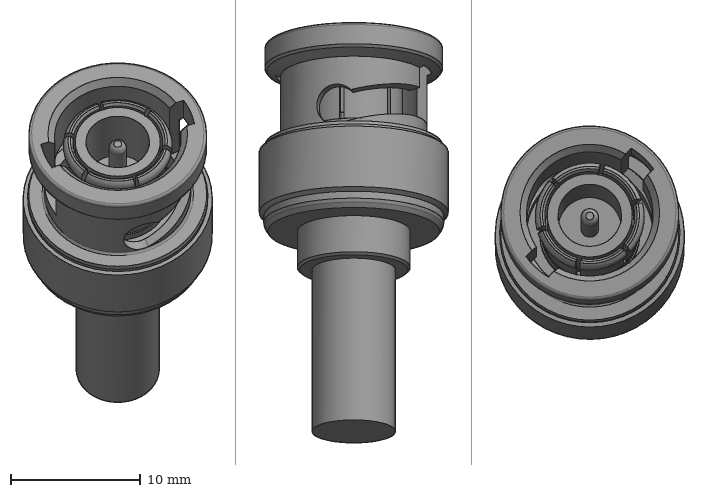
import cadquery as cq
import math

LENGTH = 30.95

GRIP_RADIUS = 7.3
COLLAR_RADIUS = 6.95
FLANGE_RADIUS = 6.87
NECK_RADIUS = 5.65
BORE_RADIUS = 4.9
BORE_MOUTH_RADIUS = 5.4

NUT_BOTTOM = 16.1
GRIP_BOTTOM = 17.3
GRIP_TOP = 22.45
COLLAR_TOP = 23.0
FLANGE_BOTTOM = 28.97
BORE_FLOOR = 22.28
BORE_MOUTH_DEPTH = 0.5
FLARE_HEIGHT = 0.43
FLARE_RADIUS = 6.72
FLANGE_FILLET = 0.22
NECK_FILLET = 0.2
GRIP_CHAMFER = 0.28

RIM_TAPER = 0.1
RIM_HEIGHT = 0.28
BOTTOM_CHAMFER_WIDTH = 0.25
BOTTOM_CHAMFER_HEIGHT = 0.37

SLOT_WIDTH = 2.35
SLOT_OUTER_RADIUS = 6.0
RAMP_ANGLE = math.radians(14.0)
LOCK_RADIUS = 1.58
LOCK_HEIGHT = 24.75
SLOT_COUNT = 2

TUBE_RADIUS = 3.22
TUBE_COLLAR_RADIUS = 4.35
TUBE_COLLAR_BOTTOM = 13.0
TUBE_COLLAR_CHAMFER = 0.2

HUB_RADIUS = 3.87
HUB_TOP = 22.9
BODY_RADIUS = 3.75
SLEEVE_RADIUS = 3.78
SLEEVE_BOTTOM = 24.1
SLEEVE_TOP = 30.02
LIP_RADIUS = 4.2
LIP_HEIGHT = 1.25
LIP_CREST_RADIUS = 3.85
SLEEVE_MOUTH_RADIUS = 3.65
SLEEVE_INNER_RADIUS = 3.47
SLIT_WIDTH = 0.35
SLIT_COUNT = 6
SLIT_INNER_RADIUS = 3.37

GAP_FLOOR = 24.73
INSULATOR_RADIUS = 3.28
INSULATOR_BORE_RADIUS = 2.45
PIN_RADIUS = 0.68
PIN_TIP_RADIUS = 0.3
INSULATOR_TOP = 29.9
PIN_SHOULDER = 29.1
PIN_TOP = 29.62


def cylinder(radius, bottom, top):
    return cq.Workplane("XY").workplane(offset=bottom).circle(radius).extrude(top - bottom)


def revolve(profile):
    """Turn a closed radius-height profile a full turn about Z."""
    return profile.close().revolve(360, (0, 0, 0), (0, 1, 0))


def nut_blank():
    """Turned shape of the nut, before the bayonet slots."""
    rim_radius = COLLAR_RADIUS - RIM_TAPER
    chamfer_top = NUT_BOTTOM + BOTTOM_CHAMFER_HEIGHT
    neck_top = FLANGE_BOTTOM - FLARE_HEIGHT
    profile = (
        cq.Workplane("XZ")
        .moveTo(HUB_RADIUS, NUT_BOTTOM)
        .lineTo(rim_radius - BOTTOM_CHAMFER_WIDTH, NUT_BOTTOM)
        .lineTo(rim_radius, chamfer_top)
        .lineTo(COLLAR_RADIUS, chamfer_top + RIM_HEIGHT)
        .lineTo(COLLAR_RADIUS, GRIP_BOTTOM)
        .lineTo(GRIP_RADIUS, GRIP_BOTTOM + GRIP_CHAMFER)
        .lineTo(GRIP_RADIUS, GRIP_TOP)
        .lineTo(COLLAR_RADIUS, GRIP_TOP)
        .lineTo(COLLAR_RADIUS, COLLAR_TOP - RIM_HEIGHT)
        .lineTo(rim_radius, COLLAR_TOP)
        .lineTo(NECK_RADIUS + NECK_FILLET, COLLAR_TOP)
        .radiusArc((NECK_RADIUS, COLLAR_TOP + NECK_FILLET), NECK_FILLET)
        .lineTo(NECK_RADIUS, neck_top)
        .lineTo(FLARE_RADIUS, FLANGE_BOTTOM)
        .lineTo(FLANGE_RADIUS, FLANGE_BOTTOM + FLANGE_FILLET)
        .lineTo(FLANGE_RADIUS, LENGTH - FLANGE_FILLET)
        .radiusArc((FLANGE_RADIUS - FLANGE_FILLET, LENGTH), -FLANGE_FILLET)
        .lineTo(BORE_MOUTH_RADIUS, LENGTH)
        .lineTo(BORE_RADIUS, LENGTH - BORE_MOUTH_DEPTH)
        .lineTo(BORE_RADIUS, BORE_FLOOR)
        .lineTo(HUB_RADIUS, BORE_FLOOR)
    )
    return revolve(profile)


def ramp_point(distance, offset):
    """Y and Z of a point on the ramp: distance along it toward -Y, offset square to it."""
    y = -distance * math.cos(RAMP_ANGLE) + offset * math.sin(RAMP_ANGLE)
    z = LOCK_HEIGHT + distance * math.sin(RAMP_ANGLE) + offset * math.cos(RAMP_ANGLE)
    return y, z


def bayonet_slot():
    """Entry slot on -Y, ramp from its foot toward -X, and round lock hole at the end of the ramp."""
    side = SLOT_WIDTH / 2
    ramp_end = SLOT_OUTER_RADIUS / math.cos(RAMP_ANGLE)
    low = -LOCK_RADIUS
    high = low + SLOT_WIDTH
    start = cq.Workplane("YZ").workplane(offset=-GRIP_RADIUS)
    ramp_outline = [
        ramp_point(0, low),
        ramp_point(ramp_end, low),
        ramp_point(ramp_end, high),
        ramp_point(0, high),
    ]
    ramp = start.polyline(ramp_outline).close().extrude(GRIP_RADIUS + side)
    lock = start.center(0, LOCK_HEIGHT).circle(LOCK_RADIUS).extrude(GRIP_RADIUS)
    foot_y, foot_z = ramp_point(ramp_end, low)
    inner_y, inner_z = ramp_point(ramp_end / 2, low)
    entry = (
        cq.Workplane("YZ")
        .polyline([(inner_y, inner_z), (foot_y, foot_z), (foot_y, LENGTH), (inner_y, LENGTH)])
        .close()
        .extrude(side, both=True)
    )
    within = cylinder(SLOT_OUTER_RADIUS, NUT_BOTTOM, LENGTH)
    return ramp.union(entry).union(lock).intersect(within)


def coupling_nut():
    nut = nut_blank()
    for index in range(SLOT_COUNT):
        nut = nut.cut(bayonet_slot().rotate((0, 0, 0), (0, 0, 1), index * 360 / SLOT_COUNT))
    return nut


def core_blank():
    """Turned shape of the core, with the annular gap between spring sleeve and insulator."""
    profile = (
        cq.Workplane("XZ")
        .moveTo(0, 0)
        .lineTo(TUBE_RADIUS, 0)
        .lineTo(TUBE_RADIUS, TUBE_COLLAR_BOTTOM)
        .lineTo(TUBE_COLLAR_RADIUS - TUBE_COLLAR_CHAMFER, TUBE_COLLAR_BOTTOM)
        .lineTo(TUBE_COLLAR_RADIUS, TUBE_COLLAR_BOTTOM + TUBE_COLLAR_CHAMFER)
        .lineTo(TUBE_COLLAR_RADIUS, NUT_BOTTOM)
        .lineTo(HUB_RADIUS, NUT_BOTTOM)
        .lineTo(HUB_RADIUS, HUB_TOP)
        .lineTo(BODY_RADIUS, HUB_TOP)
        .lineTo(BODY_RADIUS, SLEEVE_BOTTOM)
        .lineTo(SLEEVE_RADIUS, SLEEVE_BOTTOM)
        .lineTo(SLEEVE_RADIUS, SLEEVE_TOP - LIP_HEIGHT)
        .threePointArc((LIP_RADIUS, SLEEVE_TOP - LIP_HEIGHT / 2), (LIP_CREST_RADIUS, SLEEVE_TOP))
        .lineTo(SLEEVE_MOUTH_RADIUS, SLEEVE_TOP)
        .lineTo(SLEEVE_INNER_RADIUS, SLEEVE_TOP - (SLEEVE_MOUTH_RADIUS - SLEEVE_INNER_RADIUS))
        .lineTo(SLEEVE_INNER_RADIUS, GAP_FLOOR)
        .lineTo(INSULATOR_RADIUS, GAP_FLOOR)
        .lineTo(INSULATOR_RADIUS, INSULATOR_TOP)
        .lineTo(INSULATOR_BORE_RADIUS, INSULATOR_TOP)
        .lineTo(INSULATOR_BORE_RADIUS, GAP_FLOOR)
        .lineTo(PIN_RADIUS, GAP_FLOOR)
        .lineTo(PIN_RADIUS, PIN_SHOULDER)
        .tangentArcPoint((PIN_TIP_RADIUS, PIN_TOP), relative=False)
        .lineTo(0, PIN_TOP)
    )
    return revolve(profile)


def sleeve_slits():
    """Radial slits that divide the spring sleeve into equal fingers, clear of the insulator."""
    height = SLEEVE_TOP - SLEEVE_BOTTOM
    inside = cylinder(SLIT_INNER_RADIUS, SLEEVE_BOTTOM, SLEEVE_TOP)
    opposite_pair = (
        cq.Workplane("XY")
        .workplane(offset=SLEEVE_BOTTOM)
        .rect(2 * BORE_RADIUS, SLIT_WIDTH)
        .extrude(height)
        .cut(inside)
    )
    return [
        opposite_pair.rotate((0, 0, 0), (0, 0, 1), index * 360 / SLIT_COUNT)
        for index in range(SLIT_COUNT // 2)
    ]


def connector_core():
    core = core_blank()
    for slit_pair in sleeve_slits():
        core = core.cut(slit_pair)
    return core


nut = coupling_nut()
core = connector_core()
result = cq.Compound.makeCompound([nut.val(), core.val()])